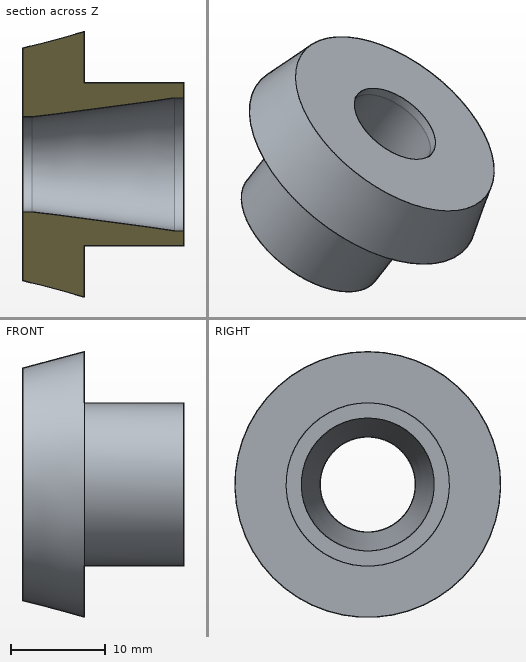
import cadquery as cq
import math

total_length = 17.0
flange_thickness = 6.5

flange_diameter = 28.0
barrel_diameter = 17.2
bore_diameter = 10.0
bore_exit_diameter = 14.0

straight_bore_length = 1.0

rim_taper_angle = 15.0

flange_radius = flange_diameter / 2
barrel_radius = barrel_diameter / 2
bore_radius = bore_diameter / 2
bore_exit_radius = bore_exit_diameter / 2
front_radius = flange_radius - flange_thickness * math.tan(math.radians(rim_taper_angle))


def bushing():
    """Revolve the half section (axial X, radial Z) about the X axis."""
    return (
        cq.Workplane("XZ")
        .moveTo(0, bore_radius)
        .lineTo(0, front_radius)
        .lineTo(flange_thickness, flange_radius)
        .lineTo(flange_thickness, barrel_radius)
        .lineTo(total_length, barrel_radius)
        .lineTo(total_length, bore_exit_radius)
        .lineTo(total_length - straight_bore_length, bore_exit_radius)
        .lineTo(straight_bore_length, bore_radius)
        .close()
        .revolve(360, (0, 0, 0), (1, 0, 0))
    )


result = bushing()